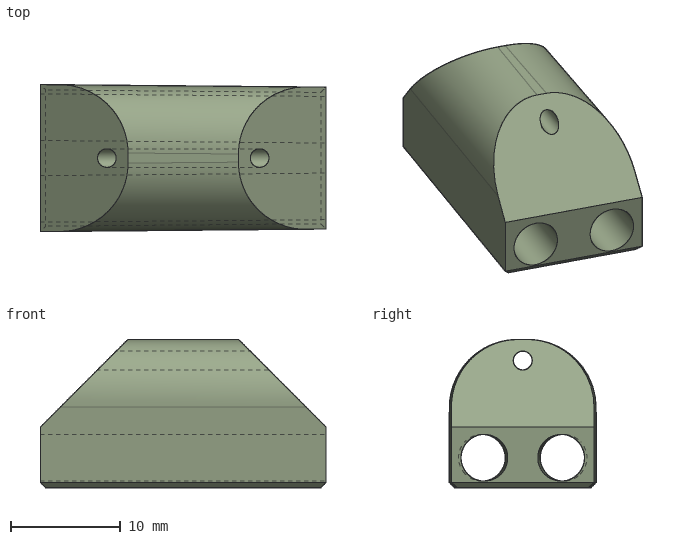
import cadquery as cq

length = 26.0
height = 13.5
wide_end = 13.4
narrow_end = 12.92
round_radius = 6.15
end_wall_height = 5.5
bottom_chamfer = 0.5

bore_diameter = 4.25
bore_offset = 3.72
bore_height = 2.73
small_hole_diameter = 1.7
small_hole_height = 11.57

slope_run = height - end_wall_height
side_taper = (wide_end - narrow_end) / 2 / length
cutter_overrun = 2.6


def make_block():
    """Tapered block with rounded long top edges and a chamfered base."""
    plan = [
        (-length / 2, -wide_end / 2),
        (length / 2, -narrow_end / 2),
        (length / 2, narrow_end / 2),
        (-length / 2, wide_end / 2),
    ]
    block = cq.Workplane("XY").polyline(plan).close().extrude(height)
    long_top_edges = block.faces(">Z").edges("<Y or >Y")
    block = long_top_edges.fillet(round_radius)
    return block.faces("<Z").chamfer(bottom_chamfer)


def slope_cutter(end):
    """Wedge above the 45 degree slope; end is -1 for -X and +1 for +X."""
    profile = [
        (end * length / 2, end_wall_height),
        (end * length / 2, height),
        (end * (length / 2 - slope_run), height),
    ]
    return cq.Workplane("XZ").polyline(profile).close().extrude(wide_end, both=True)


def long_hole(diameter, y, z, direction_y=0.0):
    """Through-hole cutter; y is its position at the -X end."""
    start = cq.Vector(
        -length / 2 - cutter_overrun,
        y - cutter_overrun * direction_y,
        z,
    )
    direction = cq.Vector(1, direction_y, 0)
    cutter_length = length + 2 * cutter_overrun
    return cq.Solid.makeCylinder(diameter / 2, cutter_length, start, direction)


result = make_block()
for end in (-1, 1):
    result = result.cut(slope_cutter(end))

for side in (-1, 1):
    inward_slope = -side * side_taper
    result = result.cut(long_hole(bore_diameter, side * bore_offset, bore_height, inward_slope))

result = result.cut(long_hole(small_hole_diameter, 0, small_hole_height))